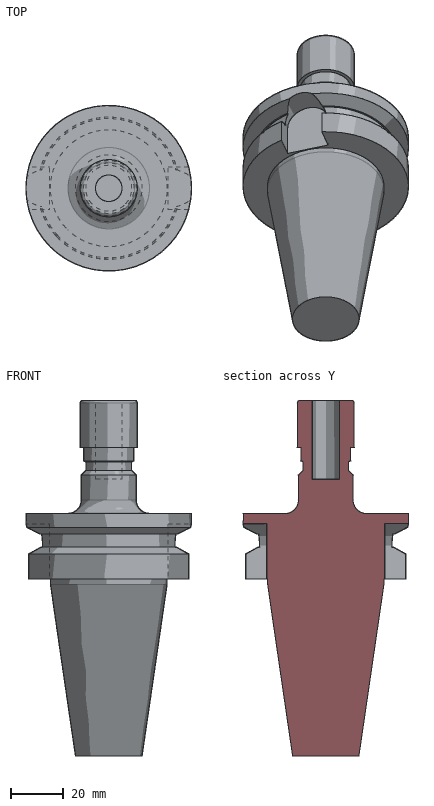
import cadquery as cq
import math


GAUGE_RADIUS = 44.45 / 2
TAPER_LENGTH = 65.4
TAPER_RATIO = 7 / 24
SMALL_END_RADIUS = GAUGE_RADIUS - TAPER_LENGTH * TAPER_RATIO / 2

FLANGE_RADIUS = 63.0 / 2
FLANGE_BOTTOM = 2.0
FLANGE_TOP = 27.0
GROOVE_CENTRE = 16.6
GROOVE_ROOT_RADIUS = 53.0 / 2
GROOVE_ROOT_WIDTH = 5.0
GROOVE_MOUTH_WIDTH = 10.1
GROOVE_FLANK_ANGLE = 30.0
GROOVE_FLANK_HEIGHT = (GROOVE_MOUTH_WIDTH - GROOVE_ROOT_WIDTH) / 2
LEDGE_RADIUS = FLANGE_RADIUS - GROOVE_FLANK_HEIGHT / math.tan(math.radians(GROOVE_FLANK_ANGLE))
ROOT_BOTTOM = GROOVE_CENTRE - GROOVE_ROOT_WIDTH / 2
ROOT_TOP = GROOVE_CENTRE + GROOVE_ROOT_WIDTH / 2

SLOT_WIDTH = 16.1
SLOT_TOP = 23.0
SLOT_FLOOR_X = 22.5

SHOULDER_RADIUS = 10.5
SHOULDER_TOP = 41.6
SHOULDER_FILLET = 5.0
NECK_RADIUS = 8.75
NECK_TOP = 46.5
COLLAR_RADIUS = 9.6
COLLAR_BOTTOM = 46.9
HEAD_RADIUS = 10.9
HEAD_BOTTOM = 52.0
HEAD_TOP = 70.0
HEAD_FILLET = 1.0

BORE_RADIUS = 10.1 / 2
BORE_DEPTH = 30.0


def turned_body():
    """Solid of revolution: taper, grooved flange and stepped spigot."""
    fillet_drop = SHOULDER_FILLET * (1 - math.sqrt(0.5))
    head_drop = HEAD_FILLET * (1 - math.sqrt(0.5))
    profile = (
        cq.Workplane("XZ")
        .moveTo(0, -TAPER_LENGTH)
        .lineTo(SMALL_END_RADIUS, -TAPER_LENGTH)
        .lineTo(GAUGE_RADIUS, 0)
        .lineTo(GAUGE_RADIUS, FLANGE_BOTTOM)
        .lineTo(FLANGE_RADIUS, FLANGE_BOTTOM)
        .lineTo(FLANGE_RADIUS, ROOT_BOTTOM - GROOVE_FLANK_HEIGHT)
        .lineTo(LEDGE_RADIUS, ROOT_BOTTOM)
        .lineTo(GROOVE_ROOT_RADIUS, ROOT_BOTTOM)
        .lineTo(GROOVE_ROOT_RADIUS, ROOT_TOP)
        .lineTo(LEDGE_RADIUS, ROOT_TOP)
        .lineTo(FLANGE_RADIUS, ROOT_TOP + GROOVE_FLANK_HEIGHT)
        .lineTo(FLANGE_RADIUS, FLANGE_TOP)
        .lineTo(SHOULDER_RADIUS + SHOULDER_FILLET, FLANGE_TOP)
        .threePointArc(
            (SHOULDER_RADIUS + fillet_drop, FLANGE_TOP + fillet_drop),
            (SHOULDER_RADIUS, FLANGE_TOP + SHOULDER_FILLET),
        )
        .lineTo(SHOULDER_RADIUS, SHOULDER_TOP)
        .lineTo(NECK_RADIUS, SHOULDER_TOP + SHOULDER_RADIUS - NECK_RADIUS)
        .lineTo(NECK_RADIUS, NECK_TOP)
        .lineTo(COLLAR_RADIUS, COLLAR_BOTTOM)
        .lineTo(COLLAR_RADIUS, HEAD_BOTTOM)
        .lineTo(HEAD_RADIUS, HEAD_BOTTOM)
        .lineTo(HEAD_RADIUS, HEAD_TOP - HEAD_FILLET)
        .threePointArc(
            (HEAD_RADIUS - head_drop, HEAD_TOP - head_drop),
            (HEAD_RADIUS - HEAD_FILLET, HEAD_TOP),
        )
        .lineTo(0, HEAD_TOP)
        .close()
    )
    return profile.revolve(360, (0, 0), (0, 1))


def drive_slot(side):
    """Round-topped cutter for the slot on the +X (side=1) or -X (side=-1) face."""
    half_width = SLOT_WIDTH / 2
    outline = (
        cq.Workplane("YZ", origin=(side * SLOT_FLOOR_X, 0, 0))
        .moveTo(-half_width, FLANGE_BOTTOM)
        .lineTo(half_width, FLANGE_BOTTOM)
        .lineTo(half_width, SLOT_TOP - half_width)
        .threePointArc((0, SLOT_TOP), (-half_width, SLOT_TOP - half_width))
        .close()
    )
    return outline.extrude(side * FLANGE_RADIUS)


def head_bore():
    """Cutter for the blind bore from the top of the head."""
    return cq.Workplane("XY", origin=(0, 0, HEAD_TOP - BORE_DEPTH)).circle(BORE_RADIUS).extrude(BORE_DEPTH)


result = turned_body().cut(head_bore())
for side in (-1, 1):
    result = result.cut(drive_slot(side))